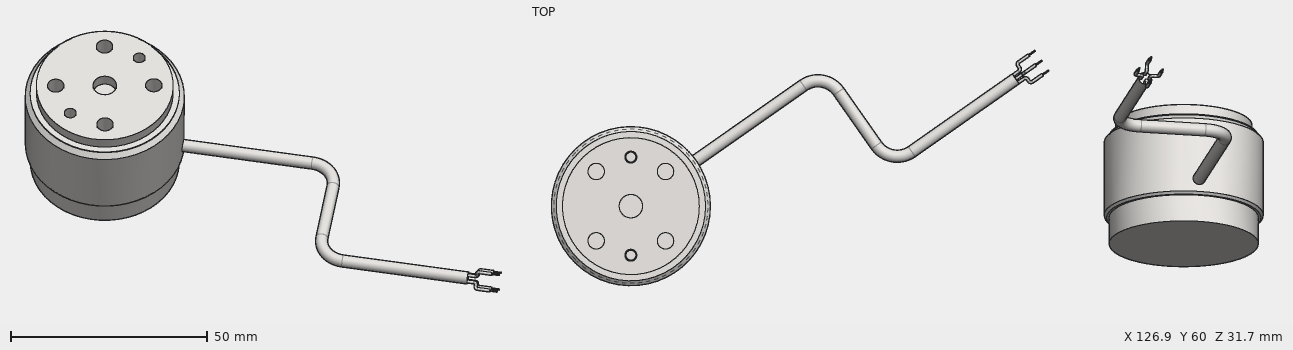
import cadquery as cq
import math

total_height = 31.7
body_diameter = 40.6
base_diameter = 38.1
cap_diameter = 34.9
body_bottom = 7.0
body_top = 28.7
top_chamfer = 1.5
bottom_chamfer = 0.6

center_hole_diameter = 6.0
center_hole_depth = 3.3
hole_circle_diameter = 25.0
mount_hole_count = 4
mount_hole_start_angle = 45.0
mount_hole_diameter = 4.2
pin_hole_count = 2
pin_hole_start_angle = 90.0
pin_hole_diameter = 3.0
pin_hole_depth = 5.1
pin_hole_bottom_diameter = 2.5
hole_depth = 6.3

cable_diameter = 3.2
cable_height = 11.0
cable_angle = 35.0
cable_bend_radius = 6.5
cable_offset = 29.7
first_bend_distance = 53.7
cable_end = 99.0
cable_embedding = 2.5
cable_root = body_diameter / 2 - cable_embedding

wire_count = 4
wire_diameter = 0.81
bare_diameter = 0.37
wire_bend_radius = 0.6
wire_inner_offset = 1.1
wire_outer_offset = 3.0
wire_step_out = 2.4
wire_end = 105.2
bare_end = 107.1


def make_housing():
    base = cq.Workplane("XY").circle(base_diameter / 2).extrude(body_top)
    body = (
        cq.Workplane("XY", origin=(0, 0, body_bottom))
        .circle(body_diameter / 2)
        .extrude(body_top - body_bottom)
        .faces(">Z")
        .chamfer(top_chamfer)
        .faces("<Z")
        .chamfer(bottom_chamfer)
    )
    cap = cq.Workplane("XY").circle(cap_diameter / 2).extrude(total_height)
    return base.union(body).union(cap)


def cut_top_holes(housing):
    circle_radius = hole_circle_diameter / 2
    top = cq.Workplane("XY", origin=(0, 0, total_height))
    center_hole = top.circle(center_hole_diameter / 2).extrude(-center_hole_depth)
    mount_holes = (
        top.polarArray(circle_radius, mount_hole_start_angle, 360, mount_hole_count)
        .circle(mount_hole_diameter / 2)
        .extrude(-hole_depth)
    )
    pin_points = top.polarArray(circle_radius, pin_hole_start_angle, 360, pin_hole_count)
    pin_holes = pin_points.circle(pin_hole_diameter / 2).extrude(-pin_hole_depth)
    pin_hole_bottoms = pin_points.circle(pin_hole_bottom_diameter / 2).extrude(-hole_depth)
    return housing.cut(center_hole).cut(mount_holes).cut(pin_holes).cut(pin_hole_bottoms)


def quarter_bend_middle(radius):
    """Forward and sideways travel at the middle of a quarter bend."""
    return radius * math.sin(math.pi / 4), radius * (1 - math.cos(math.pi / 4))


def s_path(start, bend_start, end, from_offset, to_offset, radius):
    """Path along +X that steps sideways in Y through two quarter bends."""
    side = math.copysign(1, to_offset - from_offset)
    forward, sideways = quarter_bend_middle(radius)
    middle = bend_start + radius
    finish = middle + radius
    return (
        cq.Workplane("XY")
        .moveTo(start, from_offset)
        .lineTo(bend_start, from_offset)
        .threePointArc(
            (bend_start + forward, from_offset + side * sideways),
            (middle, from_offset + side * radius),
        )
        .lineTo(middle, to_offset - side * radius)
        .threePointArc(
            (finish - forward, to_offset - side * sideways),
            (finish, to_offset),
        )
        .lineTo(end, to_offset)
    )


def make_cable():
    path = s_path(cable_root, first_bend_distance, cable_end, 0, -cable_offset, cable_bend_radius)
    profile = cq.Workplane("YZ", origin=(cable_root, 0, 0)).circle(cable_diameter / 2)
    return profile.sweep(path)


def make_wire():
    bend_start = cable_end + wire_step_out - wire_bend_radius
    path = s_path(
        cable_end, bend_start, wire_end, wire_inner_offset, wire_outer_offset, wire_bend_radius
    )
    insulation = (
        cq.Workplane("YZ", origin=(cable_end, wire_inner_offset, 0))
        .circle(wire_diameter / 2)
        .sweep(path)
    )
    bare_tip = (
        cq.Workplane("YZ", origin=(wire_end, wire_outer_offset, 0))
        .circle(bare_diameter / 2)
        .extrude(bare_end - wire_end)
    )
    return insulation.union(bare_tip)


def make_cable_with_wires():
    cable = make_cable()
    wire = make_wire()
    for index in range(wire_count):
        turned = wire.rotate((0, 0, 0), (1, 0, 0), index * 360 / wire_count)
        cable = cable.union(turned.translate((0, -cable_offset, 0)))
    return cable.rotate((0, 0, 0), (0, 0, 1), cable_angle).translate((0, 0, cable_height))


result = cut_top_holes(make_housing()).union(make_cable_with_wires())